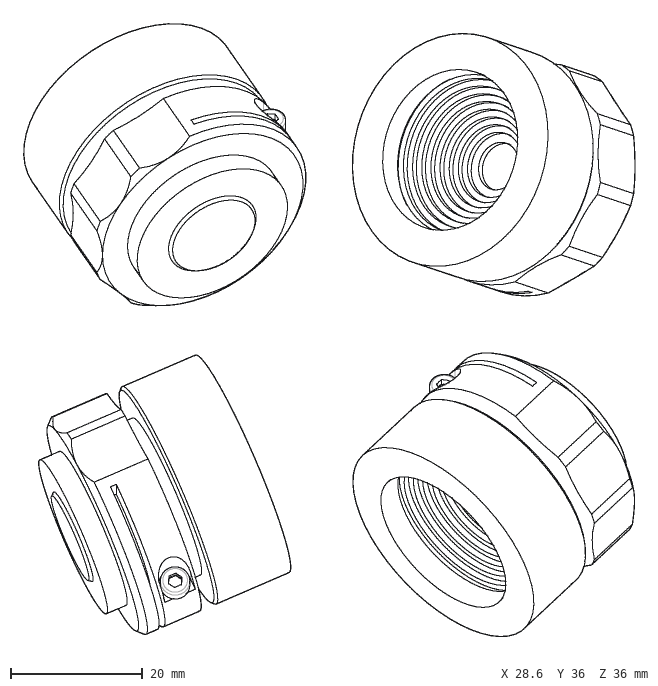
import cadquery as cq
import math


FLANGE_END = 12.6
CLAMP_START = 14.9
SLOT_START = 20.95
SLOT_END = 21.92
CLAMP_END = 24.88
REAR_END = 28.15
TOTAL_LENGTH = 28.65

OUTER_RADIUS = 18.0
NECK_RADIUS = 13.0
REAR_RADIUS = 12.75
BOSS_RADIUS = 7.4
FLANGE_CHAMFER = 0.45
CLAMP_CHAMFER = 1.0
BOSS_TAPER = 0.45

BORE_RADIUS = 12.42
BORE_DEPTH = 4.0
GROOVE_RADIUS = 13.0
STAIR_START = 5.0
STAIR_RADIUS = 12.02
STAIR_END = 13.0
STEP_COUNT = 8
STEP = (STAIR_END - STAIR_START) / STEP_COUNT
FLOOR_RECESS_RADIUS = 3.67
FLOOR_RECESS_DEPTH = STEP

SCALLOP_COUNT = 5
SCALLOP_PITCH = 35.0
SCALLOP_HALF_ANGLE = 14.5
SCALLOP_FLOOR_RADIUS = 17.0

SCREW_X = (CLAMP_START + SLOT_START) / 2
SCREW_Y = 15.0
SEAT_Z = 6.25
POCKET_RADIUS = 2.52
HEAD_RADIUS = 2.25
HEAD_HEIGHT = 2.5
HEAD_FILLET = 0.35
SHANK_RADIUS = 1.25
SHANK_LENGTH = 10.0
HEX_ACROSS_FLATS = 1.98
HEX_DEPTH = 1.25
HEX_TIP_DEPTH = 0.58


def revolve_about_x(profile):
    """Solid of revolution of a list of (x, radius) points around the X axis."""
    return cq.Workplane("XZ").polyline(profile).close().revolve(360, (0, 0, 0), (1, 0, 0))


def hub_blank():
    """Flange, neck, clamp ring, rear cylinder and tapered end boss."""
    return revolve_about_x([
        (0, 0),
        (0, OUTER_RADIUS),
        (FLANGE_END - FLANGE_CHAMFER, OUTER_RADIUS),
        (FLANGE_END, OUTER_RADIUS - FLANGE_CHAMFER),
        (FLANGE_END, NECK_RADIUS),
        (CLAMP_START, NECK_RADIUS),
        (CLAMP_START, OUTER_RADIUS),
        (CLAMP_END - CLAMP_CHAMFER, OUTER_RADIUS),
        (CLAMP_END, OUTER_RADIUS - CLAMP_CHAMFER),
        (CLAMP_END, REAR_RADIUS),
        (REAR_END, REAR_RADIUS),
        (REAR_END, BOSS_RADIUS),
        (TOTAL_LENGTH, BOSS_RADIUS - BOSS_TAPER),
        (TOTAL_LENGTH, 0),
    ])


def stepped_cavity():
    """Bore with an undercut groove, a staircase of shrinking rings and a shallow floor recess."""
    profile = [
        (0, 0),
        (0, BORE_RADIUS),
        (BORE_DEPTH, BORE_RADIUS),
        (BORE_DEPTH, GROOVE_RADIUS),
        (STAIR_START, GROOVE_RADIUS),
    ]
    for i in range(STEP_COUNT):
        radius = STAIR_RADIUS - i * STEP
        start = STAIR_START + i * STEP
        profile += [(start, radius), (start + STEP, radius)]
    profile += [
        (STAIR_END, FLOOR_RECESS_RADIUS),
        (STAIR_END + FLOOR_RECESS_DEPTH, FLOOR_RECESS_RADIUS),
        (STAIR_END + FLOOR_RECESS_DEPTH, 0),
    ]
    return revolve_about_x(profile)


def scallop_cutters():
    """Cylinders whose flanks hollow out the -Y half of the clamp ring."""
    half_angle = math.radians(SCALLOP_HALF_ANGLE)
    half_chord = OUTER_RADIUS * math.sin(half_angle)
    sagitta = OUTER_RADIUS * math.cos(half_angle) - SCALLOP_FLOOR_RADIUS
    scallop_radius = (half_chord**2 + sagitta**2) / (2 * sagitta)
    axis_distance = SCALLOP_FLOOR_RADIUS + scallop_radius

    cutter = (
        cq.Workplane("YZ", origin=(CLAMP_START, 0, 0))
        .center(-axis_distance, 0)
        .circle(scallop_radius)
        .extrude(CLAMP_END - CLAMP_START)
    )
    middle = (SCALLOP_COUNT - 1) / 2
    return [
        cutter.rotate((0, 0, 0), (1, 0, 0), (i - middle) * SCALLOP_PITCH)
        for i in range(SCALLOP_COUNT)
    ]


def clamp_slot():
    """Half-ring slot on the +Y side, down to the rear cylinder's radius."""
    ring = (
        cq.Workplane("YZ", origin=(SLOT_START, 0, 0))
        .circle(2 * OUTER_RADIUS)
        .circle(REAR_RADIUS)
        .extrude(SLOT_END - SLOT_START)
    )
    plus_y_half = cq.Workplane("XY").box(
        TOTAL_LENGTH, 2 * OUTER_RADIUS, 4 * OUTER_RADIUS, centered=(False, False, True)
    )
    return ring.intersect(plus_y_half)


def screw_pocket():
    """U-shaped screw seat, open outward and upward, with the shank hole below it."""
    seat = cq.Workplane("XY", origin=(SCREW_X, SCREW_Y, SEAT_Z))
    round_end = seat.circle(POCKET_RADIUS).extrude(OUTER_RADIUS)
    open_side = (
        seat.center(0, OUTER_RADIUS / 2)
        .rect(2 * POCKET_RADIUS, OUTER_RADIUS)
        .extrude(OUTER_RADIUS)
    )
    shank_hole = seat.circle(SHANK_RADIUS).extrude(-SHANK_LENGTH)
    return round_end.union(open_side).union(shank_hole)


def make_hub():
    hub = hub_blank().cut(stepped_cavity())
    for cutter in scallop_cutters():
        hub = hub.cut(cutter)
    return hub.cut(clamp_slot()).cut(screw_pocket())


def make_screw():
    """Cap screw with a hexagon socket that ends in a cone."""
    seat = cq.Workplane("XY", origin=(SCREW_X, SCREW_Y, SEAT_Z))
    head = seat.circle(HEAD_RADIUS).extrude(HEAD_HEIGHT).faces(">Z").edges().fillet(HEAD_FILLET)
    shank = seat.circle(SHANK_RADIUS).extrude(-SHANK_LENGTH)

    hex_corner_radius = HEX_ACROSS_FLATS / math.sqrt(3)
    top = seat.workplane(offset=HEAD_HEIGHT)
    socket = top.polygon(6, 2 * hex_corner_radius).extrude(-HEX_DEPTH)
    tip = cq.Workplane(cq.Solid.makeCone(
        hex_corner_radius, 0, HEX_TIP_DEPTH,
        pnt=cq.Vector(SCREW_X, SCREW_Y, SEAT_Z + HEAD_HEIGHT - HEX_DEPTH),
        dir=cq.Vector(0, 0, -1),
    ))
    return head.union(shank).cut(socket).cut(tip)


hub = make_hub()
screw = make_screw()

result = cq.Compound.makeCompound([hub.val(), screw.val()])